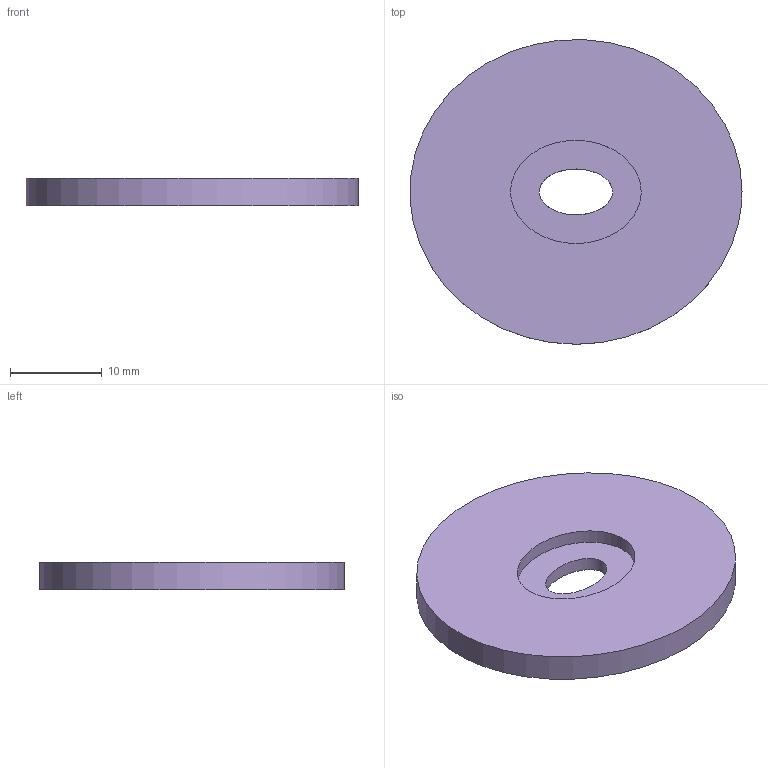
import cadquery as cq

length_over_width = 3.0
disc_width = 33.25
recess_width = 11.25
hole_width = 5.0

disc_thickness = 3.0
recess_depth = 1.5


def elliptical_prism(width, height, base_z):
    """Upright elliptical prism centred on the Z axis."""
    length = width + length_over_width
    return cq.Workplane("XY").workplane(offset=base_z).ellipse(length / 2, width / 2).extrude(height)


disc = elliptical_prism(disc_width, disc_thickness, 0)

recess_floor_z = disc_thickness - recess_depth
recess = elliptical_prism(recess_width, recess_depth, recess_floor_z)

hole = elliptical_prism(hole_width, disc_thickness, 0)

result = disc.cut(recess).cut(hole)